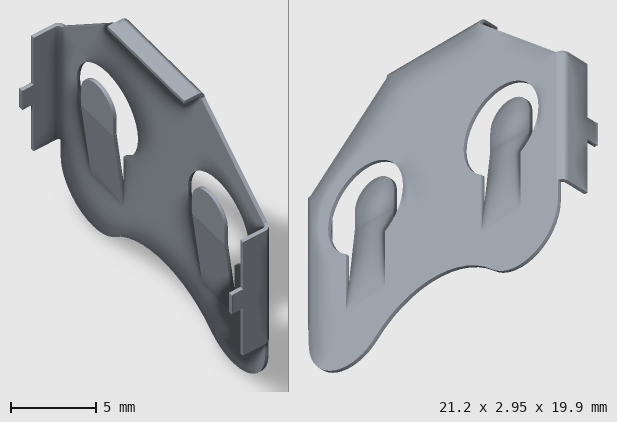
import cadquery as cq
import math


total_width = 21.22
total_height = 19.86
total_depth = 2.95
sheet = 0.25
bend_radius = 0.5

tab_flare = 0.057
tab_flare_length = 0.21
tab_height = 1.6
side_reach = total_width / 2 - tab_flare
side_depth = 2.12
side_length = 9.4

top_z = 10.57
top_depth = 1.49
top_length = 7.64

body_half_width = 10.19
lobe_radius = 3.2
lobe_x = body_half_width - lobe_radius
lobe_z = top_z - total_height + lobe_radius
arch_top_z = -6.54

contact_x = 5.54
window_radius = 3.05
window_z = 1.53
tongue_width = 3.2
tongue_root_z = -5.2
tongue_bend_z = 1.06
tongue_tip_z = 3.99
tongue_front = 1.0


def right_and_left(shape):
    """The shape together with its mirror image across X = 0."""
    return shape.union(shape.mirror("YZ"))


def body():
    """Flat sheet: sloped shoulders above, two lobes and an arch below."""
    side_root = side_reach - bend_radius
    top_root = top_z - bend_radius

    drop = lobe_z - arch_top_z
    arch_radius = (lobe_x**2 + drop**2 - lobe_radius**2) / (2 * (lobe_radius - drop))
    arch_z = arch_top_z - arch_radius

    angle = math.atan2(arch_z - lobe_z, lobe_x)
    touch_x = lobe_x - lobe_radius * math.cos(angle)
    touch_z = lobe_z + lobe_radius * math.sin(angle)

    middle = (angle - math.pi) / 2
    lobe_mid_x = lobe_x - lobe_radius * math.cos(middle)
    lobe_mid_z = lobe_z + lobe_radius * math.sin(middle)

    return (
        cq.Workplane("XZ")
        .moveTo(top_length / 2, top_root)
        .lineTo(side_root, side_length / 2)
        .lineTo(side_root, -side_length / 2)
        .lineTo(body_half_width, -side_length / 2)
        .lineTo(body_half_width, lobe_z)
        .threePointArc((lobe_mid_x, lobe_mid_z), (touch_x, touch_z))
        .threePointArc((0, arch_top_z), (-touch_x, touch_z))
        .threePointArc((-lobe_mid_x, lobe_mid_z), (-body_half_width, lobe_z))
        .lineTo(-body_half_width, -side_length / 2)
        .lineTo(-side_root, -side_length / 2)
        .lineTo(-side_root, side_length / 2)
        .lineTo(-top_length / 2, top_root)
        .close()
        .extrude(sheet)
    )


def flange(reach, depth, length):
    """Flange on the +X side: a quarter bend and a flat wall, centred on Z = 0."""
    inner_radius = bend_radius - sheet
    root = reach - bend_radius
    return (
        cq.Workplane("XY")
        .moveTo(root, 0)
        .radiusArc((reach, -bend_radius), bend_radius)
        .lineTo(reach, -depth)
        .lineTo(reach - sheet, -depth)
        .lineTo(reach - sheet, -bend_radius)
        .radiusArc((root, -sheet), -inner_radius)
        .close()
        .extrude(length / 2, both=True)
    )


def solder_tab():
    """Tab on the +X flange, its outer face curving outward at the tip."""
    flare_radius = (tab_flare_length**2 + tab_flare**2) / (2 * tab_flare)
    inner_x = side_reach - sheet
    flare_start = tab_flare_length - total_depth
    return (
        cq.Workplane("XY")
        .moveTo(side_reach, -side_depth)
        .lineTo(side_reach, flare_start)
        .radiusArc((side_reach + tab_flare, -total_depth), -flare_radius)
        .lineTo(inner_x, -total_depth)
        .lineTo(inner_x, -side_depth)
        .close()
        .extrude(tab_height / 2, both=True)
    )


def contact_opening():
    """Round window and the slot the tongue is bent out of."""
    window = cq.Workplane("XZ").center(contact_x, window_z).circle(window_radius).extrude(sheet)
    slot_height = window_z - tongue_root_z
    slot = (
        cq.Workplane("XZ")
        .center(contact_x, tongue_root_z + slot_height / 2)
        .rect(tongue_width, slot_height)
        .extrude(sheet)
    )
    return window.union(slot)


def tongue():
    """Strip sloping forward from its root, then flat, with a round tip."""
    strip = (
        cq.Workplane("YZ")
        .workplane(offset=contact_x)
        .moveTo(0, tongue_root_z)
        .lineTo(-sheet, tongue_root_z)
        .lineTo(-tongue_front, tongue_bend_z)
        .lineTo(-tongue_front, tongue_tip_z)
        .lineTo(sheet - tongue_front, tongue_tip_z)
        .lineTo(sheet - tongue_front, tongue_bend_z)
        .close()
        .extrude(tongue_width / 2, both=True)
    )
    half_width = tongue_width / 2
    tip_start_z = tongue_tip_z - half_width
    outline = (
        cq.Workplane("XZ")
        .moveTo(contact_x - half_width, tongue_root_z)
        .lineTo(contact_x - half_width, tip_start_z)
        .threePointArc((contact_x, tongue_tip_z), (contact_x + half_width, tip_start_z))
        .lineTo(contact_x + half_width, tongue_root_z)
        .close()
        .extrude(tongue_front)
    )
    return strip.intersect(outline)


side_flanges = right_and_left(flange(side_reach, side_depth, side_length).union(solder_tab()))
top_flange = flange(top_z, top_depth, top_length).rotate((0, 0, 0), (0, 1, 0), -90)

result = (
    body()
    .cut(right_and_left(contact_opening()))
    .union(right_and_left(tongue()))
    .union(side_flanges)
    .union(top_flange)
)